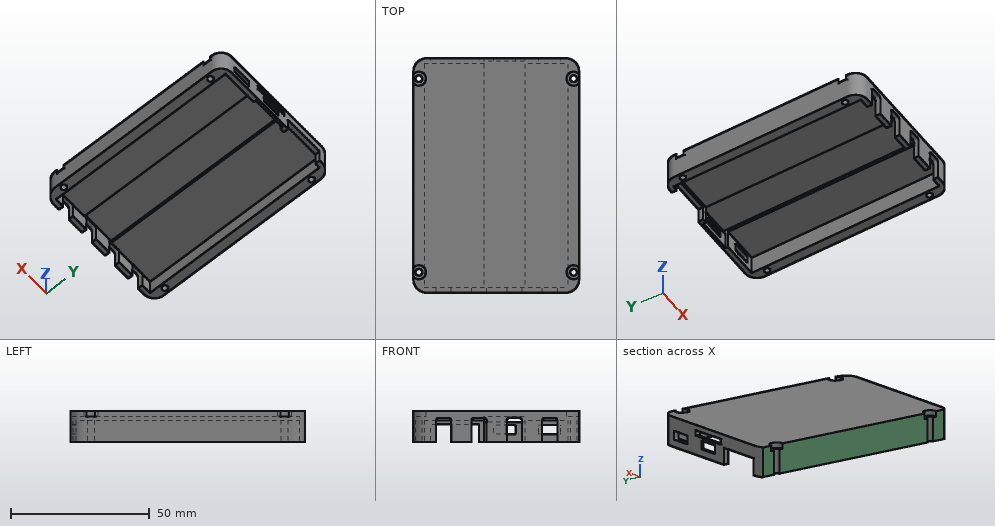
import cadquery as cq

width = 59.7
length = 84.5
height = 11.2
corner_radius = 5.0
side_wall = 4.0
end_wall = 2.0
ceiling_z = 7.9

screw_edge_inset = 2.0
screw_end_inset = 7.4
screw_diameter = 2.4
counterbore_diameter = 5.1
counterbore_depth = 2.0

slot_count = 4
slot_pitch = 12.72
slot_width = 5.4
slot_row_center_x = 0.2
slot_top_z = height - 2.5
slot_corner_radius = 1.0

notch_left_x = -23.7
notch_right_x = -6.25
notch_top_z = 6.3
port_width = 8.0
port_bottom_z = 2.9
port_top_z = 6.1
port_corner_radius = 0.4
center_port_x = 2.95
right_port_x = 19.2

channel_width = 14.7
channel_top_z = 9.2
thin_wall = 1.0
thin_wall_top_z = 7.2

front_y = -length / 2
back_y = length / 2
cavity_front_y = front_y + end_wall
cavity_back_y = back_y - end_wall


def box_between(x_range, y_range, z_range):
    """Box filling the given (low, high) ranges."""
    sizes = [high - low for low, high in (x_range, y_range, z_range)]
    corner = (x_range[0], y_range[0], z_range[0])
    return cq.Workplane("XY").box(*sizes, centered=False).translate(corner)


def centered_range(center, size):
    return (center - size / 2, center + size / 2)


def shell():
    body = cq.Workplane("XY").rect(width, length).extrude(height)
    body = body.edges("|Z").fillet(corner_radius)
    cavity = box_between(
        centered_range(0, width - 2 * side_wall), (cavity_front_y, cavity_back_y), (0, ceiling_z)
    )
    return body.cut(cavity)


def front_slot(center_x):
    """Slot open at the bottom, with rounded top corners."""
    slot = box_between(
        centered_range(center_x, slot_width), (front_y, cavity_front_y), (0, slot_top_z)
    )
    return slot.edges("|Y and >Z").fillet(slot_corner_radius)


def back_port(center_x):
    """Rounded connector window through the back wall."""
    port = box_between(
        centered_range(center_x, port_width), (cavity_back_y, back_y), (port_bottom_z, port_top_z)
    )
    return port.edges("|Y").fillet(port_corner_radius)


def back_notch():
    return box_between(
        (notch_left_x, notch_right_x), (cavity_back_y, back_y), (0, notch_top_z)
    )


def ceiling_channel():
    """Channel into the back wall, leaving through a gap above the thinned wall."""
    x_range = centered_range(center_port_x, channel_width)
    inner = box_between(x_range, (cavity_front_y, back_y - thin_wall), (0, channel_top_z))
    gap = box_between(x_range, (cavity_back_y, back_y), (thin_wall_top_z, channel_top_z))
    return inner.union(gap)


def drill_screw_holes(body):
    return (
        body.faces(">Z")
        .workplane(origin=(0, 0, height))
        .rect(width - 2 * screw_edge_inset, length - 2 * screw_end_inset, forConstruction=True)
        .vertices()
        .cboreHole(screw_diameter, counterbore_diameter, counterbore_depth)
    )


result = drill_screw_holes(shell())

for index in range(slot_count):
    slot_x = slot_row_center_x + (index - (slot_count - 1) / 2) * slot_pitch
    result = result.cut(front_slot(slot_x))

result = result.cut(back_notch()).cut(ceiling_channel())

for port_x in (center_port_x, right_port_x):
    result = result.cut(back_port(port_x))